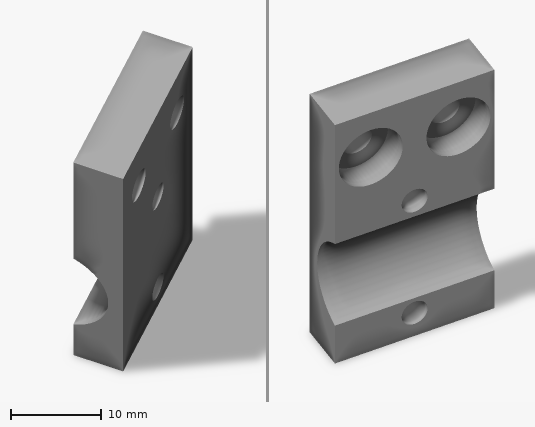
import cadquery as cq

thickness = 6.0
width = 20.0
height = 35.0

groove_radius = 6.37
groove_depth = 4.2
groove_z = 11.55

clamp_hole_diameter = 3.25
clamp_hole_offset = 8.22
clamp_middle_z = 11.62

mount_hole_diameter = 4.0
counterbore_diameter = 8.0
counterbore_depth = 3.5
mount_hole_spacing = 11.0
mount_hole_z = 28.45


def cylinder_along_x(diameter, length, y, z):
    """Cylinder starting at the grooved face and running in +X."""
    return cq.Workplane("YZ").center(y, z).circle(diameter / 2).extrude(length)


def groove():
    """Cylinder along Y whose deepest line lies groove_depth below the face."""
    axis_x = groove_depth - groove_radius
    return cq.Workplane("XZ").center(axis_x, groove_z).circle(groove_radius).extrude(width / 2, both=True)


result = cq.Workplane("XY").box(thickness, width, height, centered=(False, True, False))
result = result.cut(groove())

for side in (-1, 1):
    clamp_z = clamp_middle_z + side * clamp_hole_offset
    result = result.cut(cylinder_along_x(clamp_hole_diameter, thickness, 0, clamp_z))

    mount_y = side * mount_hole_spacing / 2
    result = result.cut(cylinder_along_x(mount_hole_diameter, thickness, mount_y, mount_hole_z))
    result = result.cut(cylinder_along_x(counterbore_diameter, counterbore_depth, mount_y, mount_hole_z))